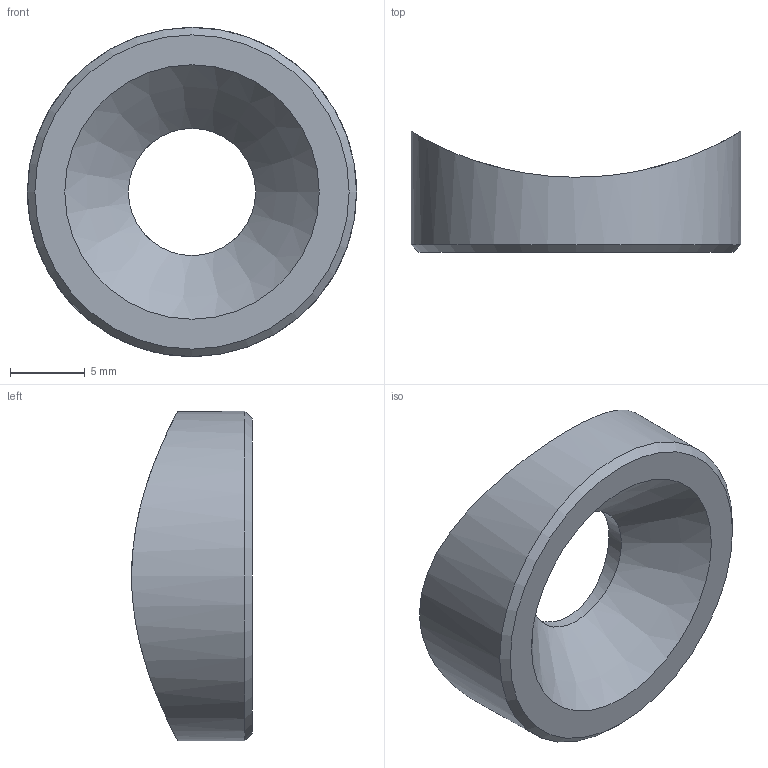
import cadquery as cq
import math

outer_diameter = 22.0
centre_thickness = 5.0
edge_chamfer = 0.5
tube_diameter = 42.4
hole_diameter = 8.5
countersink_diameter = 17.0
countersink_angle = 90.0

outer_radius = outer_diameter / 2
tube_radius = tube_diameter / 2
hole_radius = hole_diameter / 2
countersink_radius = countersink_diameter / 2
countersink_half_angle = math.radians(countersink_angle / 2)
countersink_depth = (countersink_radius - hole_radius) / math.tan(countersink_half_angle)

saddle_rise = tube_radius - math.sqrt(tube_radius**2 - outer_radius**2)
blank_thickness = centre_thickness + saddle_rise


def revolve_about_y(points):
    """Solid of revolution about Y from (radius, y) points."""
    return cq.Workplane("XY").polyline(points).close().revolve(360, (0, 0, 0), (0, 1, 0))


def disc_blank():
    """Disc with a chamfered front rim, thick enough to reach the saddle tips."""
    return revolve_about_y([
        (0, 0),
        (outer_radius - edge_chamfer, 0),
        (outer_radius, edge_chamfer),
        (outer_radius, blank_thickness),
        (0, blank_thickness),
    ])


def countersunk_hole():
    """Through hole that opens as a cone towards the flat face."""
    return revolve_about_y([
        (0, 0),
        (countersink_radius, 0),
        (hole_radius, countersink_depth),
        (hole_radius, blank_thickness),
        (0, blank_thickness),
    ])


def tube():
    """Cylinder along Z that hollows the back of the disc."""
    return (
        cq.Workplane("XY")
        .center(0, centre_thickness + tube_radius)
        .circle(tube_radius)
        .extrude(outer_diameter, both=True)
    )


result = disc_blank().cut(tube()).cut(countersunk_hole())